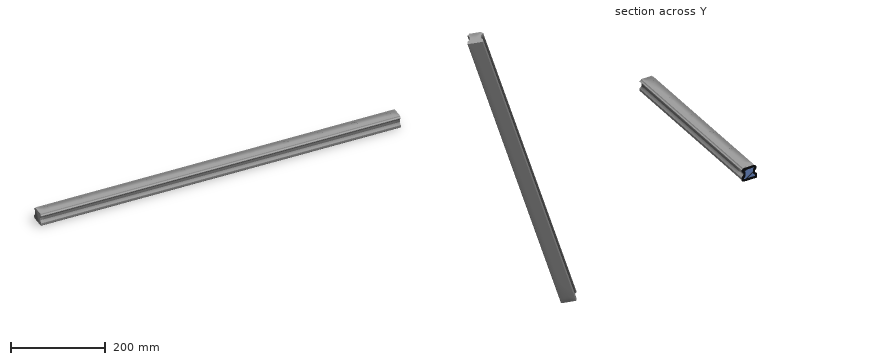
import cadquery as cq

rail_length = 840.0
rail_width = 34.0
rail_height = 29.0

half_width = rail_width / 2
shoulder_half_width = 16.5
web_half_width = 12.3
crown_half_width = 13.7
top_half_width = 13.2

base_chamfer = 1.3
side_top = 6.8
shoulder_height = 7.5
web_bottom = 12.2
web_top = 18.2
head_bottom = 23.85
head_top = 25.5
crown_height = 28.2

lower_raceway_depth = 0.65
upper_raceway_depth = 0.8

hole_pitch = 80.0
hole_end_distance = 20.0
hole_diameter = 14.0
cap_recess = 0.2
hole_count = round((rail_length - 2 * hole_end_distance) / hole_pitch) + 1


def make_rail():
    """Extrude the waisted cross-section along Y, centred on the origin."""
    half_rail = (
        cq.Workplane("XZ")
        .lineTo(half_width - base_chamfer, 0)
        .lineTo(half_width, base_chamfer)
        .lineTo(half_width, side_top)
        .lineTo(shoulder_half_width, shoulder_height)
        .lineTo(web_half_width, web_bottom)
        .lineTo(web_half_width, web_top)
        .sagittaArc((half_width, head_bottom), lower_raceway_depth)
        .lineTo(half_width, head_top)
        .sagittaArc((crown_half_width, crown_height), upper_raceway_depth)
        .lineTo(top_half_width, rail_height)
        .lineTo(0, rail_height)
        .close()
        .extrude(rail_length / 2, both=True)
    )
    return half_rail.union(half_rail.mirror("YZ")).clean()


def cut_cap_recesses(rail):
    """Sink the row of round cap recesses into the top face."""
    recesses = (
        cq.Workplane("XY", origin=(0, 0, rail_height - cap_recess))
        .rarray(1, hole_pitch, 1, hole_count)
        .circle(hole_diameter / 2)
        .extrude(cap_recess)
    )
    return rail.cut(recesses)


result = cut_cap_recesses(make_rail())